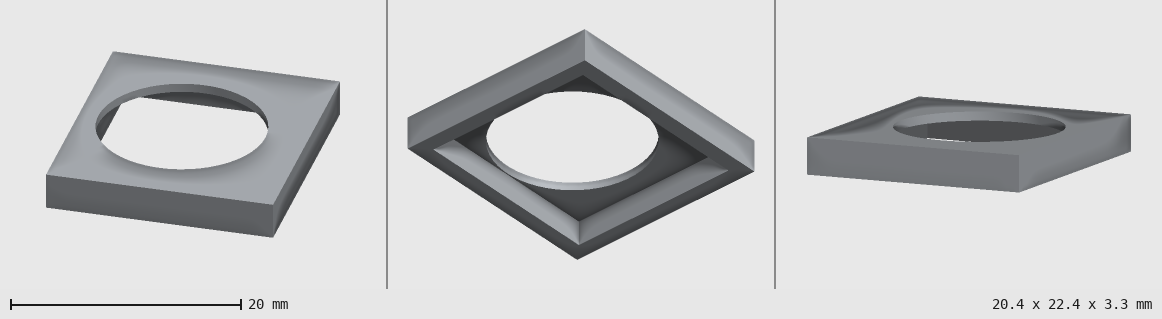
import cadquery as cq

length_x = 20.4
length_y = 22.4
height = 3.3

wall = 1.6
top_thickness = 0.8

opening_diameter = 15.0
opening_x = 9.2 - length_x / 2

block = cq.Workplane("XY").box(length_x, length_y, height, centered=(True, True, False))

pocket = cq.Workplane("XY").box(
    length_x - 2 * wall,
    length_y - 2 * wall,
    height - top_thickness,
    centered=(True, True, False),
)

opening = cq.Workplane("XY").center(opening_x, 0).circle(opening_diameter / 2).extrude(height)

result = block.cut(pocket).cut(opening)